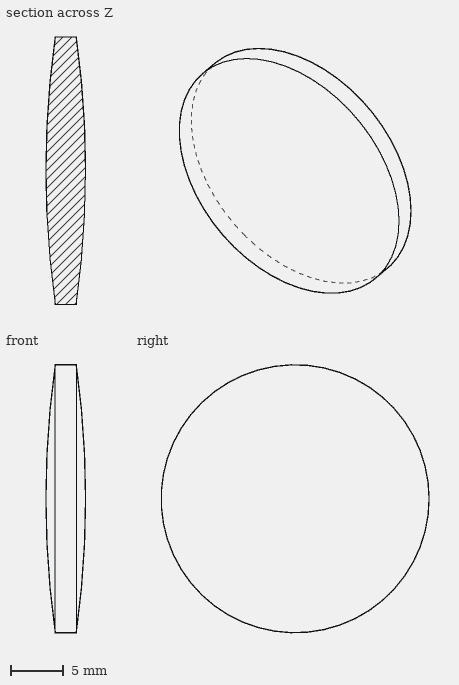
import cadquery as cq
import math

diameter = 25.4
center_thickness = 3.78
edge_thickness = 2.0

radius = diameter / 2
half_edge = edge_thickness / 2
half_center = center_thickness / 2
sag = half_center - half_edge
face_radius = (radius**2 + sag**2) / (2 * sag)


def face_arc_midpoint(side):
    """Point halfway out along the convex face on the given side (+1 or -1) of X."""
    height = radius / 2
    drop = face_radius - math.sqrt(face_radius**2 - height**2)
    return (side * (half_center - drop), height)


def make_lens():
    """Half section of the lens, revolved about the optical axis."""
    section = (
        cq.Workplane("XY")
        .moveTo(-half_center, 0)
        .threePointArc(face_arc_midpoint(-1), (-half_edge, radius))
        .lineTo(half_edge, radius)
        .threePointArc(face_arc_midpoint(1), (half_center, 0))
        .close()
    )
    return section.revolve(360, (0, 0, 0), (1, 0, 0))


result = make_lens()